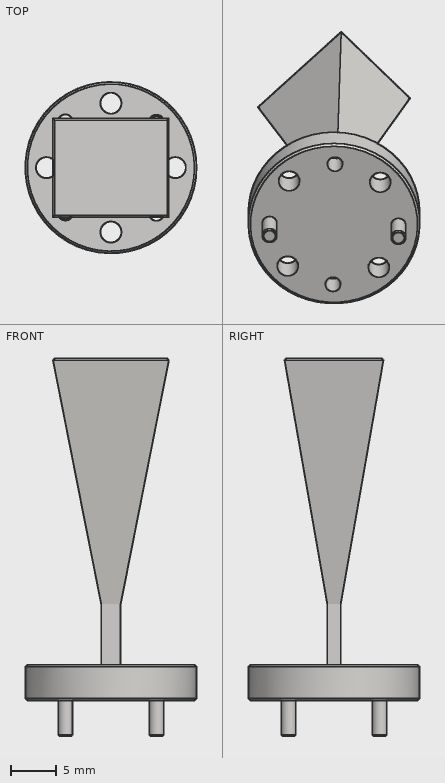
import cadquery as cq
import math

total_height = 41.95
pin_projection = 3.95
flange_thickness = 4.0
stem_length = 6.7

flange_diameter = 19.05
flange_chamfer = 0.25
bolt_circle_radius = 7.155
screw_hole_diameter = 2.3
alignment_hole_diameter = 1.68

stem_width_x = 2.2
stem_width_y = 1.5
mouth_width_x = 12.9
mouth_width_y = 11.0
rim_height = 0.25
rim_inset = 0.2

pin_diameter = 1.65
pin_chamfer = 0.15

flange_top = pin_projection + flange_thickness
stem_top = flange_top + stem_length
mouth_level = total_height - rim_height

screw_angles = [0, 90, 180, 270]
pin_angles = [45, 225]
alignment_hole_angles = [135, 315]


def bolt_circle_points(angles):
    return [
        (
            bolt_circle_radius * math.cos(math.radians(angle)),
            bolt_circle_radius * math.sin(math.radians(angle)),
        )
        for angle in angles
    ]


def flange_holes(angles, diameter):
    return (
        cq.Workplane("XY", origin=(0, 0, pin_projection))
        .pushPoints(bolt_circle_points(angles))
        .circle(diameter / 2)
        .extrude(flange_thickness)
    )


def make_flange():
    flange = (
        cq.Workplane("XY", origin=(0, 0, pin_projection))
        .circle(flange_diameter / 2)
        .extrude(flange_thickness)
        .edges()
        .chamfer(flange_chamfer)
    )
    flange = flange.cut(flange_holes(screw_angles, screw_hole_diameter))
    flange = flange.cut(flange_holes(alignment_hole_angles, alignment_hole_diameter))
    return flange.cut(flange_holes(pin_angles, pin_diameter))


def make_frustum(base_level, base_size, top_level, top_size):
    return (
        cq.Workplane("XY", origin=(0, 0, base_level))
        .rect(*base_size)
        .workplane(offset=top_level - base_level)
        .rect(*top_size)
        .loft(ruled=True)
    )


def make_horn():
    stem_size = (stem_width_x, stem_width_y)
    mouth_size = (mouth_width_x, mouth_width_y)
    face_size = (mouth_width_x - 2 * rim_inset, mouth_width_y - 2 * rim_inset)
    stem = cq.Workplane("XY", origin=(0, 0, flange_top)).rect(*stem_size).extrude(stem_length)
    flare = make_frustum(stem_top, stem_size, mouth_level, mouth_size)
    rim = make_frustum(mouth_level, mouth_size, total_height, face_size)
    return stem.union(flare).union(rim)


def make_pin(x, y):
    return (
        cq.Workplane("XY", origin=(x, y, 0))
        .circle(pin_diameter / 2)
        .extrude(flange_top)
        .edges()
        .chamfer(pin_chamfer)
    )


antenna = make_flange().union(make_horn())
pins = [make_pin(x, y) for x, y in bolt_circle_points(pin_angles)]

result = cq.Compound.makeCompound([antenna.val(), *[pin.val() for pin in pins]])